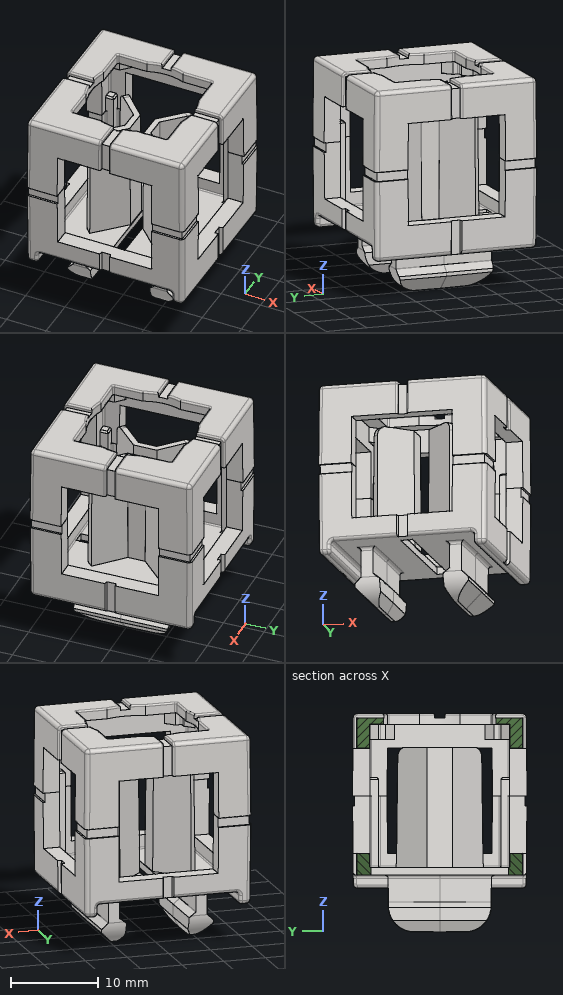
import cadquery as cq
import math

PICK_MARGIN = 0.02

TOP_Z = 25.0
FOOT_Z = 5.0
HOOK_TIP_Z = 0.0
WIDTH = 20.0
HALF_WIDTH = WIDTH / 2
DRAFT_ANGLE = 0.5
DRAFT_SLOPE = math.tan(math.radians(DRAFT_ANGLE))

GROOVE_WIDTH = 1.1
GROOVE_DEPTH = 0.5
BASE_GROOVE_MOUTH = 1.3
SEAM_GROOVE_DEPTH = 0.25
SEAM_Z = (TOP_Z + FOOT_Z + GROOVE_WIDTH) / 2

WALL = 2.0
CAVITY_HALF = HALF_WIDTH - WALL
OUTER_RADIUS = 0.5
RIM_RADIUS = 0.2
INNER_CORNER_RADIUS = 0.2

WINDOW_HALF = 6.0
WINDOW_BOTTOM_Z = 9.0
WINDOW_TOP_Z = 21.0

TOP_PANEL = 1.25
OPENING_HALF = 6.0
OPENING_RADIUS = 6.42

GUSSET_BOTTOM_Z = 22.0
GUSSET_LEG = 2.8

POST_SIZE = 1.02
POST_TOP_Z = 17.65
POST_CHAMFER = 0.2
POST_INNER = CAVITY_HALF - POST_SIZE

FLOOR_TOP_Z = 7.38
FLOOR_BOTTOM_Z = 6.5
FLOOR_FILLET = 0.15
SLOT_HALF_WIDTH = 0.7
SLOT_HALF_LENGTH = CAVITY_HALF - FLOOR_FILLET

FOOT_INNER_X = 8.5
FOOT_ROOT_RADIUS = 0.38
ARCH_EDGE_RADIUS = 0.38

BLADE_THICKNESS = 1.0
BLADE_FLAT_X = 0.78
BLADE_END_SUM = 9.25
BLADE_TOP_Z = 21.12
BLADE_END_RADIUS = 1.12

HOOK_HALF_LENGTH = 5.9
HOOK_END_RADIUS = 3.0
STEM_INNER_X = 4.5
STEM_OUTER_X = 6.0
STEM_FILLET = 0.38
BARB_INNER_X = 3.7
BARB_OUTER_X = 6.78
TIP_INNER_X = 4.42
TIP_OUTER_X = 4.9
HOOK_EMBED = 0.25
BARB_INNER_LEVELS = (1.3, 2.82, 3.45)
BARB_OUTER_LEVELS = (1.85, 2.3, 3.05)


def box(x_min, x_max, y_min, y_max, z_min, z_max):
    """Box between two opposite corners."""
    size = (x_max - x_min, y_max - y_min, z_max - z_min)
    return cq.Workplane("XY").box(*size, centered=False).translate((x_min, y_min, z_min))


def centred_box(half_x, half_y, z_min, z_max):
    """Box centred on the Z axis."""
    return box(-half_x, half_x, -half_y, half_y, z_min, z_max)


def within(half_x, half_y, z):
    """Selector for edges centred near height z and inside a rectangle about the Z axis."""
    low = (-half_x, -half_y, z - PICK_MARGIN)
    high = (half_x, half_y, z + PICK_MARGIN)
    return cq.selectors.BoxSelector(low, high)


def quarter_turns(shape, count=4):
    """Copies of a shape at successive quarter turns about Z."""
    return [shape.rotate((0, 0, 0), (0, 0, 1), 90 * i) for i in range(count)]


def drafted_block(height):
    """Square block from the seam that narrows by the draft; negative heights go down."""
    block = cq.Workplane("XY").workplane(offset=SEAM_Z)
    if height < 0:
        block = block.transformed(rotate=(180, 0, 0))
    return block.rect(WIDTH, WIDTH).extrude(abs(height), taper=DRAFT_ANGLE)


def window_cutter():
    """Window through both Y sides, widest at the seam."""
    top_half = WINDOW_HALF - (WINDOW_TOP_Z - SEAM_Z) * DRAFT_SLOPE
    bottom_half = WINDOW_HALF - (SEAM_Z - WINDOW_BOTTOM_Z) * DRAFT_SLOPE
    outline = [
        (-bottom_half, WINDOW_BOTTOM_Z),
        (bottom_half, WINDOW_BOTTOM_Z),
        (WINDOW_HALF, SEAM_Z),
        (top_half, WINDOW_TOP_Z),
        (-top_half, WINDOW_TOP_Z),
        (-WINDOW_HALF, SEAM_Z),
    ]
    return cq.Workplane("XZ").polyline(outline).close().extrude(HALF_WIDTH, both=True)


def cut_windows(body):
    for window in quarter_turns(window_cutter(), 2):
        body = body.cut(window)
    return body


def gusset():
    """Triangular filling of one cavity corner with a square notch for the post's outline."""
    near = CAVITY_HALF - GUSSET_LEG
    outline = [(CAVITY_HALF, near), (CAVITY_HALF, CAVITY_HALF), (near, CAVITY_HALF)]
    height = TOP_Z - TOP_PANEL - GUSSET_BOTTOM_Z
    web = cq.Workplane("XY").workplane(offset=GUSSET_BOTTOM_Z).polyline(outline).close().extrude(height)
    notch = centred_box(POST_INNER, POST_INNER, GUSSET_BOTTOM_Z, TOP_Z)
    return web.cut(notch.edges("|Z").fillet(INNER_CORNER_RADIUS))


def opening_cutter():
    """Square opening in the top panel, bulged by a circle towards each side."""
    panel_bottom_z = TOP_Z - TOP_PANEL
    opening = centred_box(OPENING_HALF, OPENING_HALF, panel_bottom_z, TOP_Z)
    opening = opening.edges("|Z").fillet(INNER_CORNER_RADIUS)
    bulge = cq.Workplane("XY").workplane(offset=panel_bottom_z).circle(OPENING_RADIUS).extrude(TOP_PANEL)
    return opening.union(bulge)


def cover_groove():
    """Groove that runs up the -Y side and over the top as far as the opening."""
    half = GROOVE_WIDTH / 2
    up_side = box(-half, half, -HALF_WIDTH, GROOVE_DEPTH - HALF_WIDTH, SEAM_Z, TOP_Z)
    over_top = box(-half, half, -HALF_WIDTH, 0, TOP_Z - GROOVE_DEPTH, TOP_Z)
    return up_side.union(over_top)


def build_cover():
    cover = drafted_block(TOP_Z - SEAM_Z)
    cover = cover.edges("not <Z").fillet(OUTER_RADIUS)
    cavity = centred_box(CAVITY_HALF, CAVITY_HALF, SEAM_Z, TOP_Z - TOP_PANEL)
    cover = cover.cut(cavity.edges("|Z").fillet(INNER_CORNER_RADIUS))
    for web in quarter_turns(gusset()):
        cover = cover.union(web)
    cover = cut_windows(cover)
    cover = cover.cut(opening_cutter())
    for groove in quarter_turns(cover_groove()):
        cover = cover.cut(groove)

    rim_reach = HALF_WIDTH - 2 * OUTER_RADIUS
    return cover.edges(within(rim_reach, rim_reach, TOP_Z)).fillet(RIM_RADIUS)


def seam_groove():
    """Shallow step around the base just below the seam."""
    inner_half = HALF_WIDTH - SEAM_GROOVE_DEPTH
    ring = centred_box(WIDTH, WIDTH, SEAM_Z - GROOVE_WIDTH, SEAM_Z)
    return ring.cut(centred_box(inner_half, inner_half, SEAM_Z - GROOVE_WIDTH, SEAM_Z))


def base_groove():
    """Groove below the window on the -Y side, with sloping walls."""
    bottom_y = GROOVE_DEPTH - HALF_WIDTH
    outline = [
        (-BASE_GROOVE_MOUTH / 2, -HALF_WIDTH),
        (BASE_GROOVE_MOUTH / 2, -HALF_WIDTH),
        (GROOVE_WIDTH / 2, bottom_y),
        (-GROOVE_WIDTH / 2, bottom_y),
    ]
    section = cq.Workplane("XY").workplane(offset=FOOT_Z).polyline(outline).close()
    return section.extrude(WINDOW_BOTTOM_Z - FOOT_Z)


def underside_channel():
    """Channel along Y that leaves a foot on each X side."""
    channel = centred_box(FOOT_INNER_X, WIDTH, FOOT_Z, FLOOR_BOTTOM_Z)
    return channel.edges("|Y and >Z").fillet(FOOT_ROOT_RADIUS)


def post():
    """Corner post that reaches up into the cover, its outer edge rounded to fit the cover's corner."""
    block = box(POST_INNER, CAVITY_HALF, POST_INNER, CAVITY_HALF, FLOOR_BOTTOM_Z, POST_TOP_Z)
    block = block.edges("|Z").edges(">(1, 1, 0)").fillet(INNER_CORNER_RADIUS)
    return block.faces(">Z").edges("<X or <Y").chamfer(POST_CHAMFER)


def base_cavity():
    """Space above the floor, leaving out the corner posts and rounded where they meet the walls."""
    cavity = centred_box(CAVITY_HALF, CAVITY_HALF, FLOOR_TOP_Z, SEAM_Z)
    corner = box(POST_INNER, CAVITY_HALF, POST_INNER, CAVITY_HALF, FLOOR_TOP_Z, SEAM_Z)
    for corner_square in quarter_turns(corner):
        cavity = cavity.cut(corner_square)
    reach = POST_INNER + POST_SIZE / 2
    free_edges = cq.selectors.BoxSelector((-reach, -reach, FLOOR_TOP_Z), (reach, reach, SEAM_Z))
    cavity = cavity.edges("|Z").edges(-free_edges).fillet(INNER_CORNER_RADIUS)
    return cavity.edges("<Z").fillet(FLOOR_FILLET)


def blade():
    """Spring blade on the +X side of the slot, thinning upwards by the draft."""
    arm_offset = BLADE_THICKNESS / math.sqrt(2)
    flat_outer_x = BLADE_FLAT_X + BLADE_THICKNESS
    upper_half = [
        (flat_outer_x, flat_outer_x - arm_offset),
        ((BLADE_END_SUM + arm_offset) / 2, (BLADE_END_SUM - arm_offset) / 2),
        ((BLADE_END_SUM - arm_offset) / 2, (BLADE_END_SUM + arm_offset) / 2),
        (BLADE_FLAT_X, BLADE_FLAT_X + arm_offset),
    ]
    lower_half = [(x, -y) for x, y in reversed(upper_half)]
    outline = cq.Workplane("XY").workplane(offset=FLOOR_TOP_Z).polyline(upper_half + lower_half).close()
    sheet = outline.extrude(BLADE_TOP_Z - FLOOR_TOP_Z, taper=DRAFT_ANGLE)
    arm_ends = sheet.faces(">Z").edges(">(1, 1, 0) or >(1, -1, 0)")
    return arm_ends.fillet(BLADE_END_RADIUS)


def hook():
    """Snap hook under the +X half of the floor, thinning along Y from its middle."""
    lower_inner_z, upper_inner_z, stem_inner_z = BARB_INNER_LEVELS
    lower_outer_z, upper_outer_z, stem_outer_z = BARB_OUTER_LEVELS
    outline = [
        (STEM_INNER_X, FLOOR_BOTTOM_Z + HOOK_EMBED),
        (STEM_INNER_X, stem_inner_z),
        (BARB_INNER_X, upper_inner_z),
        (BARB_INNER_X, lower_inner_z),
        (TIP_INNER_X, HOOK_TIP_Z),
        (TIP_OUTER_X, HOOK_TIP_Z),
        (BARB_OUTER_X, lower_outer_z),
        (BARB_OUTER_X, upper_outer_z),
        (STEM_OUTER_X, stem_outer_z),
        (STEM_OUTER_X, FLOOR_BOTTOM_Z + HOOK_EMBED),
    ]
    front_half = cq.Workplane("XZ").polyline(outline).close().extrude(HOOK_HALF_LENGTH, taper=DRAFT_ANGLE)
    bar = front_half.union(front_half.mirror("XZ"))
    envelope = box(0, HALF_WIDTH, -HOOK_HALF_LENGTH, HOOK_HALF_LENGTH, HOOK_TIP_Z, FLOOR_TOP_Z)
    return bar.intersect(envelope.edges("|X and <Z").fillet(HOOK_END_RADIUS))


def base_shell():
    """Drafted outside of the base with its feet, and the rounded lower edges between them."""
    shell = drafted_block(FOOT_Z - SEAM_Z)
    shell = shell.edges("not >Z").fillet(OUTER_RADIUS)
    shell = shell.cut(underside_channel())
    return shell.edges("|X").edges(within(PICK_MARGIN, WIDTH, FLOOR_BOTTOM_Z)).fillet(ARCH_EDGE_RADIUS)


def build_base():
    base = base_shell()
    base = base.cut(base_cavity())
    base = cut_windows(base)
    base = base.cut(seam_groove())
    for groove in quarter_turns(base_groove()):
        base = base.cut(groove)
    base = base.cut(centred_box(SLOT_HALF_WIDTH, SLOT_HALF_LENGTH, FLOOR_BOTTOM_Z, FLOOR_TOP_Z))

    for corner_post in quarter_turns(post()):
        base = base.union(corner_post)
    for right_part in (blade(), hook()):
        base = base.union(right_part).union(right_part.mirror("YZ"))

    stem_roots = within(STEM_OUTER_X + PICK_MARGIN, HOOK_HALF_LENGTH + PICK_MARGIN, FLOOR_BOTTOM_Z)
    slot_edges = within(SLOT_HALF_WIDTH + PICK_MARGIN, WIDTH, FLOOR_BOTTOM_Z)
    return base.edges(stem_roots - slot_edges).fillet(STEM_FILLET)


cover = build_cover()
base = build_base()
result = cq.Compound.makeCompound([cover.val(), base.val()])